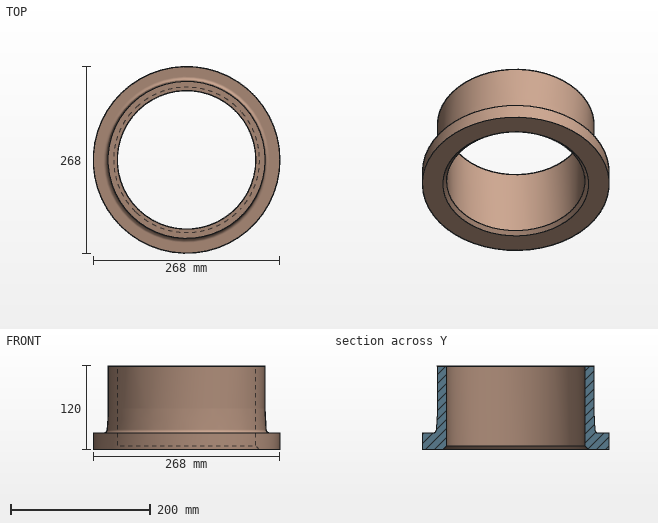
import cadquery as cq

flange_diameter = 268.0
flange_thickness = 24.0

total_height = 120.0
tube_diameter = 225.0
bore_diameter = 198.3
hub_base_diameter = 229.0
hub_top_height = 59.0
root_fillet = 4.8
bore_chamfer = 5.4

flange_radius = flange_diameter / 2
tube_radius = tube_diameter / 2
bore_radius = bore_diameter / 2
hub_base_radius = hub_base_diameter / 2

section = (
    cq.Workplane("XZ")
    .moveTo(bore_radius, bore_chamfer)
    .lineTo(bore_radius + bore_chamfer, 0)
    .lineTo(flange_radius, 0)
    .lineTo(flange_radius, flange_thickness)
    .lineTo(hub_base_radius, flange_thickness)
    .lineTo(tube_radius, hub_top_height)
    .lineTo(tube_radius, total_height)
    .lineTo(bore_radius, total_height)
    .close()
)
stub_end = section.revolve(360, (0, 0, 0), (0, 1, 0))

hub_root = cq.selectors.RadiusNthSelector(-2)
result = stub_end.edges("%CIRCLE").edges(hub_root).fillet(root_fillet)